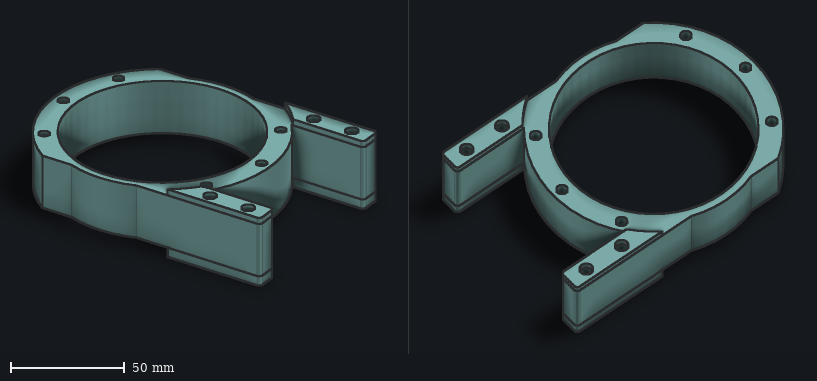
import cadquery as cq
import math

outer_radius = 57.0
bore_diameter = 92.0
ring_height = 26.3
rim_diameter = 100.0
flat_width = 94.0

ring_hole_diameter = 5.0
ring_hole_circle_radius = 52.0
ring_hole_spacing = 35.0

overall_length = 139.0
arm_width = 10.8
arm_end_x = overall_length - outer_radius
corner_radius = 1.8
top_plate_thickness = 3.0
bottom_plate_thickness = 4.7
plate_clearance = 0.7

arm_hole_diameter = 6.0
arm_hole_xs = (52.1, 72.1)
arm_center_y = (flat_width - arm_width) / 2


def cylinder(radius, height):
    """Upright cylinder on the Z axis, standing on the ring's bottom plane."""
    return cq.Workplane("XY").circle(radius).extrude(height)


def arm_bar(side, bottom_z, height):
    """Straight bar from the ring's middle plane to the arm tip, with rounded tip corners."""
    return (
        cq.Workplane("XY", origin=(arm_end_x / 2, side * arm_center_y, bottom_z))
        .rect(arm_end_x, arm_width)
        .extrude(height)
        .edges("|Z and >X")
        .fillet(corner_radius)
    )


def arm_holes(side, bottom_z, height):
    """Bolt hole cutters of one arm."""
    points = [(x, side * arm_center_y) for x in arm_hole_xs]
    return (
        cq.Workplane("XY", origin=(0, 0, bottom_z))
        .pushPoints(points)
        .circle(arm_hole_diameter / 2)
        .extrude(height)
    )


def ring_holes():
    """Six screw hole cutters through the ring."""
    angles = [
        math.radians(base + step * ring_hole_spacing)
        for base in (0, 180)
        for step in (-1, 0, 1)
    ]
    points = [
        (ring_hole_circle_radius * math.cos(a), ring_hole_circle_radius * math.sin(a))
        for a in angles
    ]
    return cq.Workplane("XY").pushPoints(points).circle(ring_hole_diameter / 2).extrude(ring_height)


def make_housing():
    """Flattened ring with a round rim and two parallel arms."""
    flats = cq.Workplane("XY").rect(2 * outer_radius, flat_width).extrude(ring_height)
    body = cylinder(outer_radius, ring_height).intersect(flats)
    body = body.union(cylinder(rim_diameter / 2, ring_height))
    for side in (-1, 1):
        body = body.union(arm_bar(side, 0, ring_height))
    body = body.cut(cylinder(bore_diameter / 2, ring_height)).cut(ring_holes())
    for side in (-1, 1):
        body = body.cut(arm_holes(side, 0, ring_height))
    return body


def make_plate(side, bottom_z, thickness):
    """Arm plate whose inner end is hollowed to follow the ring outline."""
    ring_relief = cylinder(outer_radius + plate_clearance, thickness).translate((0, 0, bottom_z))
    return (
        arm_bar(side, bottom_z, thickness)
        .cut(ring_relief)
        .cut(arm_holes(side, bottom_z, thickness))
    )


housing = make_housing()
plates = []
for side in (-1, 1):
    plates.append(make_plate(side, ring_height, top_plate_thickness))
    plates.append(make_plate(side, -bottom_plate_thickness, bottom_plate_thickness))

result = cq.Compound.makeCompound([housing.val(), *[plate.val() for plate in plates]])